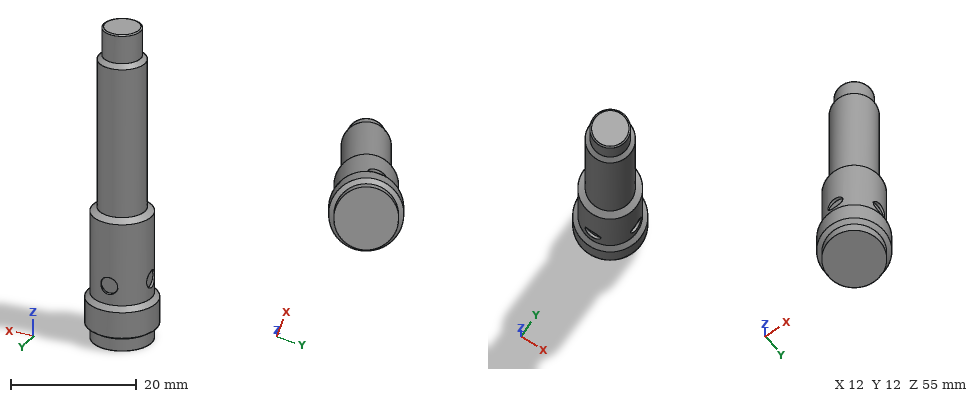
import cadquery as cq

total_height = 55.0
plug_height = 2.15
housing_top = 50.0

flange_radius = 6.0
body_radius = 5.15
neck_radius = 4.0
pin_radius = 3.25

flange_bottom = 2.7
flange_top = 7.2
body_top = 22.4
shoulder_height = 0.7
neck_top = housing_top - shoulder_height
flange_chamfer = flange_radius - body_radius

hole_radius = 1.5
hole_level = 11.35
hole_depth = 0.5
hole_count = 4

pin_chamfer_height = 0.15
pin_chamfer_width = 0.3


def make_housing():
    """Stepped round housing with conical shoulders and blind radial holes."""
    profile = [
        (0, plug_height),
        (body_radius, plug_height),
        (flange_radius, flange_bottom),
        (flange_radius, flange_top),
        (body_radius, flange_top + flange_chamfer),
        (body_radius, body_top),
        (neck_radius, body_top + shoulder_height),
        (neck_radius, neck_top),
        (pin_radius, housing_top),
        (0, housing_top),
    ]
    axis_start = (0, 0, 0)
    axis_end = (0, 1, 0)
    body = cq.Workplane("XZ").polyline(profile).close().revolve(360, axis_start, axis_end)
    for index in range(hole_count):
        body = body.cut(make_hole_cutter(index * 360 / hole_count))
    return body


def make_hole_cutter(angle):
    """Radial cylinder whose inner end is the flat floor of a blind hole."""
    cutter = (
        cq.Workplane("YZ", origin=(body_radius - hole_depth, 0, hole_level))
        .circle(hole_radius)
        .extrude(2 * hole_depth)
    )
    return cutter.rotate((0, 0, 0), (0, 0, 1), angle)


def make_pin():
    """Round pin standing on the housing, with a small bevel at its tip."""
    return (
        cq.Workplane("XY", origin=(0, 0, housing_top))
        .circle(pin_radius)
        .extrude(total_height - housing_top)
        .faces(">Z")
        .edges()
        .chamfer(pin_chamfer_height, pin_chamfer_width)
    )


def make_plug():
    """Plain round plug closing the lower end of the housing."""
    return cq.Workplane("XY").circle(body_radius).extrude(plug_height)


housing = make_housing()
pin = make_pin()
plug = make_plug()

result = cq.Compound.makeCompound([housing.val(), pin.val(), plug.val()])